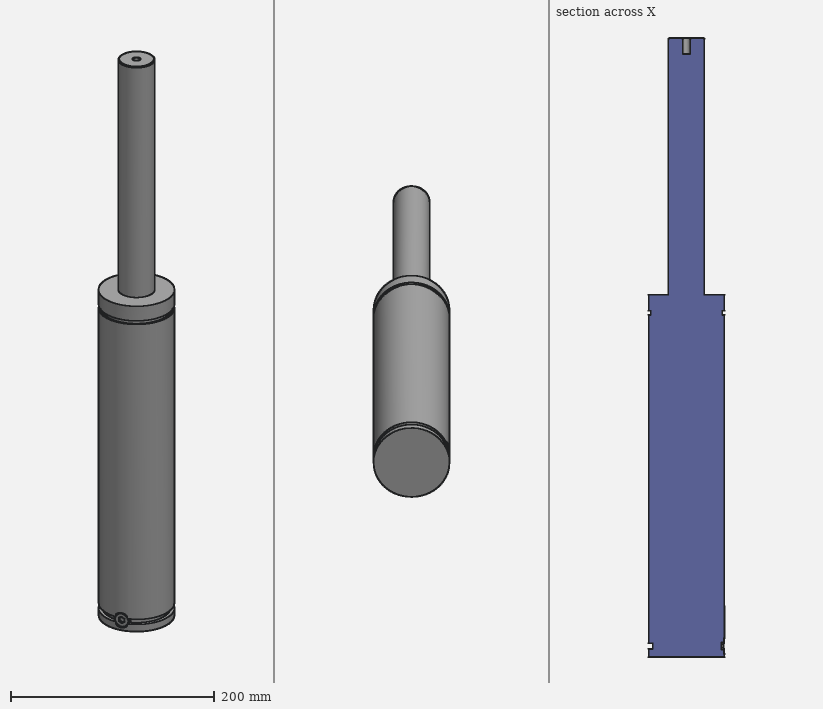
import cadquery as cq
import math

body_diameter = 75.0
body_height = 357.0
overall_height = 610.0
rod_diameter = 36.0
rod_chamfer = 1.0

rod_hole_diameter = 6.8
rod_hole_depth = 16.0
rod_hole_chamfer = 0.6
rod_hole_chamfer_angle = 45.0

top_groove_offset = 16.0
top_groove_width = 4.0
top_groove_depth = 2.0
bottom_groove_offset = 8.0
bottom_groove_width = 5.5
bottom_groove_depth = 4.0

cut_clearance = 1.0

port_height = 11.0
port_diameter = 16.0
port_face_depth = 0.5
plug_diameter = 14.0
plug_face_depth = 0.7
socket_sides = 6
socket_across_flats = 6.0
socket_floor_depth = 3.0

body_radius = body_diameter / 2


def make_body():
    return cq.Workplane("XY").circle(body_radius).extrude(body_height)


def make_rod():
    rod = cq.Workplane("XY").circle(rod_diameter / 2).extrude(overall_height)
    return rod.faces(">Z").chamfer(rod_chamfer)


def make_groove(lower_edge, width, depth):
    """Square-section ring that cuts a groove round the body."""
    ring = cq.Workplane("XY").workplane(offset=lower_edge)
    ring = ring.circle(body_radius + cut_clearance).circle(body_radius - depth)
    return ring.extrude(width)


def port_plane():
    """Plane touching the body surface at the port, with its normal pointing outward."""
    return cq.Workplane("XZ", origin=(0, -body_radius, port_height))


def make_port_boss():
    """Boss that bridges the lower groove, trimmed to the body surface."""
    boss = port_plane().circle(port_diameter / 2).extrude(-body_radius)
    return boss.intersect(make_body())


def make_port_recess():
    """Flat port face, the plug face set below it and the hexagon socket in the plug."""
    port_face = port_plane().circle(port_diameter / 2).extrude(-port_face_depth)
    plug_face = port_plane().circle(plug_diameter / 2).extrude(-plug_face_depth)
    across_corners = socket_across_flats / math.cos(math.pi / socket_sides)
    socket = port_plane().transformed(rotate=(0, 0, 180 / socket_sides)).polygon(socket_sides, across_corners)
    return port_face.union(plug_face).union(socket.extrude(-socket_floor_depth))


def make_rod_hole():
    """Blind hole with a chamfered mouth, down from the rod end."""
    hole = cq.Workplane("XY").workplane(offset=overall_height)
    drill = hole.circle(rod_hole_diameter / 2).extrude(-rod_hole_depth)
    mouth = hole.circle(rod_hole_diameter / 2 + rod_hole_chamfer)
    mouth = mouth.extrude(-rod_hole_chamfer, taper=rod_hole_chamfer_angle)
    return drill.union(mouth)


top_groove_edge = body_height - top_groove_offset - top_groove_width
result = make_body()
result = result.cut(make_groove(bottom_groove_offset, bottom_groove_width, bottom_groove_depth))
result = result.cut(make_groove(top_groove_edge, top_groove_width, top_groove_depth))
result = result.union(make_port_boss()).cut(make_port_recess())
result = result.union(make_rod()).cut(make_rod_hole())